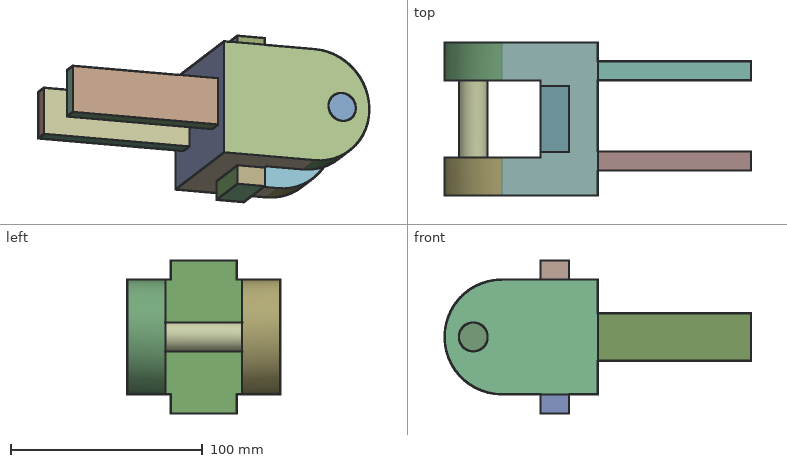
import cadquery as cq

total_length = 160.0
body_width = 80.0
total_height = 80.0

body_length = total_length / 2
body_height = 60.0
nose_radius = body_height / 2
arm_thickness = body_width / 4
slot_width = body_width - 2 * arm_thickness
bridge_length = body_height / 2
slot_depth = body_length - bridge_length

tab_length = bridge_length / 2
tab_width = 34.5

prong_height = 25.0
prong_thickness = body_width / 8
prong_length = total_length - body_length
prong_pitch = 47.0
prong_pair_center_y = 1.6

pin_diameter = 15.0
pin_x = 15.0



def make_blank():
    """Block with a half-round nose, extruded across the full width."""
    return (
        cq.Workplane("XZ", origin=(0, body_width / 2, 0))
        .moveTo(nose_radius, nose_radius)
        .lineTo(body_length, nose_radius)
        .lineTo(body_length, -nose_radius)
        .lineTo(nose_radius, -nose_radius)
        .threePointArc((0, 0), (nose_radius, nose_radius))
        .close()
        .extrude(body_width)
    )


def make_slot():
    """Opening between the two arms."""
    return cq.Workplane("XY").box(
        slot_depth, slot_width, body_height, centered=(False, True, True)
    )


def make_tab():
    """Upright bar through the bridge, standing out at the top and bottom."""
    return (
        cq.Workplane("XY")
        .box(tab_length, tab_width, total_height, centered=(False, True, True))
        .translate((slot_depth, 0, 0))
    )


def make_prong(center_y):
    """Flat bar running back from the bridge."""
    return (
        cq.Workplane("XY")
        .box(prong_length, prong_thickness, prong_height, centered=(False, True, True))
        .translate((body_length, center_y, 0))
    )


def make_pin():
    """Round bar spanning the full width, flush with the outer arm faces."""
    return (
        cq.Workplane("XZ", origin=(0, body_width / 2, 0))
        .center(pin_x, 0)
        .circle(pin_diameter / 2)
        .extrude(body_width)
    )


def make_clevis():
    """Forked body with its tab, prongs and pin holes."""
    clevis = make_blank().cut(make_slot()).union(make_tab())
    for side in (-1, 1):
        clevis = clevis.union(make_prong(prong_pair_center_y + side * prong_pitch / 2))
    return clevis.cut(make_pin())


clevis = make_clevis()
pin = make_pin()

result = cq.Compound.makeCompound([clevis.solids().val(), pin.val()])